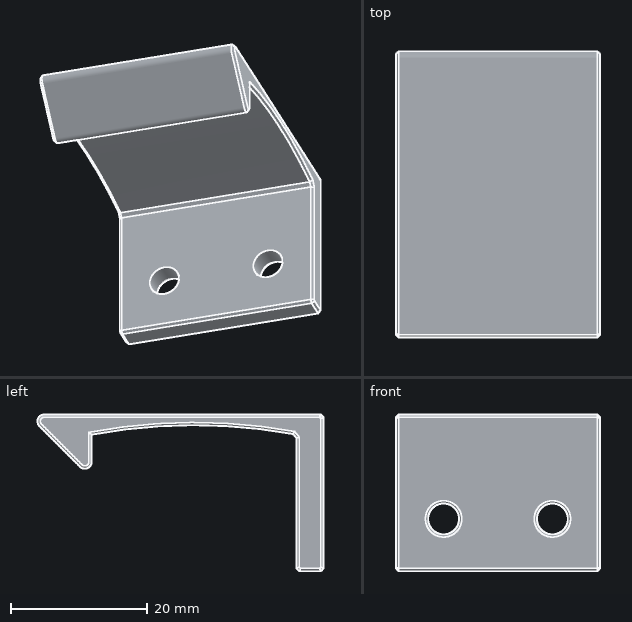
import cadquery as cq
import math

width = 30.0
length = 42.0
height = 23.0

leg_thickness = 4.0
hole_diameter = 4.5
hole_spacing = 15.95
hole_drop = 15.35
edge_chamfer = 0.4

hook_inner_y = 34.0
hook_depth = 8.0
round_radius = 1.0
arch_edge_drop = 3.0
arch_crown_drop = 1.6
inner_corner_chamfer = 0.5


def side_profile():
    """Closed YZ outline of the bracket, extruded symmetrically about x = 0."""
    nose_y = length - round_radius
    tip_y = hook_inner_y + round_radius
    tip_z = -hook_depth + round_radius

    ramp_angle = math.atan2(-round_radius - tip_z, nose_y - tip_y)
    ramp_dy = round_radius * math.sin(ramp_angle)
    ramp_dz = -round_radius * math.cos(ramp_angle)
    arch_middle = (leg_thickness + hook_inner_y) / 2

    return (
        cq.Workplane("YZ")
        .moveTo(0, 0)
        .lineTo(nose_y, 0)
        .threePointArc(
            (length, -round_radius),
            (nose_y + ramp_dy, -round_radius + ramp_dz),
        )
        .lineTo(tip_y + ramp_dy, tip_z + ramp_dz)
        .threePointArc((tip_y, -hook_depth), (hook_inner_y, tip_z))
        .lineTo(hook_inner_y, -arch_edge_drop)
        .threePointArc((arch_middle, -arch_crown_drop), (leg_thickness, -arch_edge_drop))
        .lineTo(leg_thickness, -height)
        .lineTo(0, -height)
        .close()
        .extrude(width / 2, both=True)
    )


def edge_at(y, z):
    """Selector for the edge running along X nearest to the given profile corner."""
    return cq.NearestToPointSelector((0, y, z))


def chamfer_edges(body):
    """Bevel the leg's long edges, then the whole outline of both side faces."""
    body = body.edges("|X").edges(edge_at(leg_thickness, -arch_edge_drop)).chamfer(inner_corner_chamfer)
    for y, z in [(0, 0), (0, -height), (leg_thickness, -height)]:
        body = body.edges("|X").edges(edge_at(y, z)).chamfer(edge_chamfer)
    return body.faces("<X or >X").edges().chamfer(edge_chamfer)


def mounting_hole(x):
    """Cutter through the leg with a conical lead-in at the mounting face."""
    radius = hole_diameter / 2
    lead_in = cq.Solid.makeCone(
        radius + edge_chamfer, radius, edge_chamfer,
        pnt=cq.Vector(x, 0, -hole_drop), dir=cq.Vector(0, 1, 0),
    )
    bore = cq.Solid.makeCylinder(
        radius, leg_thickness, pnt=cq.Vector(x, 0, -hole_drop), dir=cq.Vector(0, 1, 0),
    )
    return bore.fuse(lead_in)


result = chamfer_edges(side_profile())
for hole_x in (-hole_spacing / 2, hole_spacing / 2):
    result = result.cut(mounting_hole(hole_x))